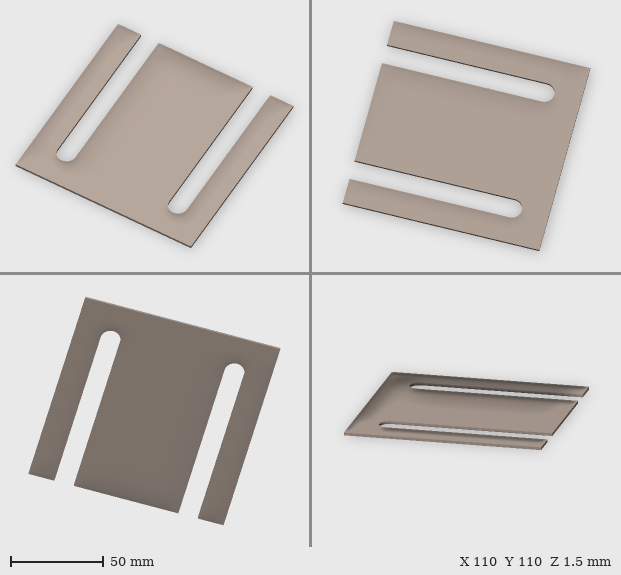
import cadquery as cq

side = 110.0
thickness = 1.5

slot_width = 11.0
slot_spacing = 70.0
end_margin = 15.0

slot_radius = slot_width / 2
back_edge = side / 2
arc_center_y = -side / 2 + end_margin + slot_radius


def slot_cutter(center_x):
    """Return the solid removed by one open slot centred at center_x."""
    left = center_x - slot_radius
    right = center_x + slot_radius
    return (
        cq.Workplane("XY")
        .moveTo(left, back_edge)
        .lineTo(left, arc_center_y)
        .threePointArc((center_x, arc_center_y - slot_radius), (right, arc_center_y))
        .lineTo(right, back_edge)
        .close()
        .extrude(thickness)
    )


result = cq.Workplane("XY").box(side, side, thickness, centered=(True, True, False))
for slot_x in (-slot_spacing / 2, slot_spacing / 2):
    result = result.cut(slot_cutter(slot_x))